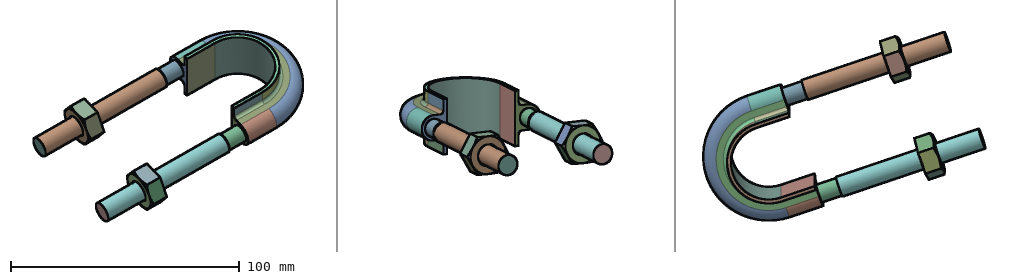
import cadquery as cq
import math

overall_width = 65.6
overall_length = 119.4

nut_across_flats = 17.1
nut_across_corners = nut_across_flats / math.cos(math.radians(30))
nut_height = 7.9
nut_bore_diameter = 9.8
nut_chamfer_angle = 30.0
nut_outer_face_to_leg_end = 20.0

leg_offset = (overall_width - nut_across_corners) / 2
leg_diameter = 9.2
bend_diameter = 8.2
neck_length = 9.3

tube_radius = 5.7
strip_outer_radius = 18.3
strip_thickness = 1.8
strip_inner_radius = strip_outer_radius - strip_thickness
strip_width = 25.0
fillet_radius = 1.5

bend_top_y = leg_offset + tube_radius
leg_end_y = bend_top_y - overall_length
saddle_end_y = -15.4
neck_end_y = saddle_end_y - neck_length
nut_outer_y = leg_end_y + nut_outer_face_to_leg_end


def sweep_along_u(outline, end_y):
    """Sweep a closed XZ outline around the half-circle bend and down both straight legs."""
    profile = cq.Workplane("XZ").add(cq.Face.makeFromWires(outline.val()))
    bend = profile.revolve(180, (0, 0, 0), (0, 1, 0))
    leg = profile.extrude(-end_y)
    return bend.union(leg).union(leg.mirror("YZ"))


def saddle_profile():
    """Strip section with a round-nosed, flat-flanked tube section filleted onto its outside."""
    half_width = strip_width / 2
    fillet_x = strip_outer_radius + fillet_radius
    fillet_z = tube_radius + fillet_radius
    fillet_inset = fillet_radius * math.cos(math.radians(45))
    middle_x = fillet_x - fillet_inset
    middle_z = fillet_z - fillet_inset

    return (
        cq.Workplane("XZ")
        .moveTo(strip_inner_radius, -half_width)
        .lineTo(strip_outer_radius, -half_width)
        .lineTo(strip_outer_radius, -fillet_z)
        .threePointArc((middle_x, -middle_z), (fillet_x, -tube_radius))
        .lineTo(leg_offset, -tube_radius)
        .threePointArc((leg_offset + tube_radius, 0), (leg_offset, tube_radius))
        .lineTo(fillet_x, tube_radius)
        .threePointArc((middle_x, middle_z), (strip_outer_radius, fillet_z))
        .lineTo(strip_outer_radius, half_width)
        .lineTo(strip_inner_radius, half_width)
        .close()
    )


def bar_profile(diameter):
    return cq.Workplane("XZ").moveTo(leg_offset, 0).circle(diameter / 2)


def make_saddle():
    """Strip and tube in one piece, bored to take the bend of the bar."""
    body = sweep_along_u(saddle_profile(), saddle_end_y)
    bore = sweep_along_u(bar_profile(bend_diameter), saddle_end_y)
    return body.cut(bore)


def make_u_bolt():
    """Thinner bar in the bend and necks, full diameter on the straight legs."""
    bolt = sweep_along_u(bar_profile(bend_diameter), neck_end_y)
    for side in (-1, 1):
        leg = (
            cq.Workplane("XZ", origin=(side * leg_offset, neck_end_y, 0))
            .circle(leg_diameter / 2)
            .extrude(neck_end_y - leg_end_y)
        )
        bolt = bolt.union(leg)
    return bolt


def make_nut(leg_x):
    """Hex nut with its corners chamfered on the face towards the leg end."""
    inner_y = nut_outer_y + nut_height
    hexagon = (
        cq.Workplane("XZ", origin=(leg_x, inner_y, 0))
        .polygon(6, nut_across_corners)
        .extrude(nut_height)
    )
    face_radius = nut_across_flats / 2
    corner_radius = nut_across_corners / 2
    chamfer_depth = (corner_radius - face_radius) * math.tan(math.radians(nut_chamfer_angle))
    chamfer_envelope = (
        cq.Workplane("XY", origin=(leg_x, 0, 0))
        .moveTo(nut_bore_diameter / 2, nut_outer_y)
        .lineTo(face_radius, nut_outer_y)
        .lineTo(corner_radius, nut_outer_y + chamfer_depth)
        .lineTo(corner_radius, inner_y)
        .lineTo(nut_bore_diameter / 2, inner_y)
        .close()
        .revolve(360, (0, 0, 0), (0, 1, 0))
    )
    return hexagon.intersect(chamfer_envelope)


saddle = make_saddle()
u_bolt = make_u_bolt()
nuts = [make_nut(side * leg_offset) for side in (-1, 1)]

result = cq.Compound.makeCompound([saddle.val(), u_bolt.val(), *[nut.val() for nut in nuts]])